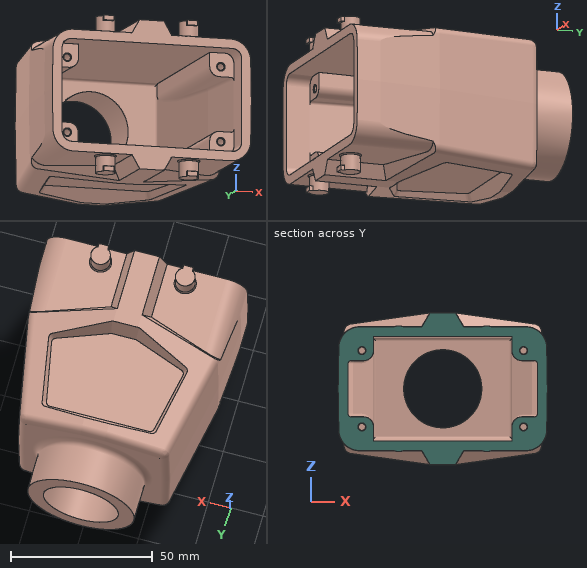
import cadquery as cq
import math

length = 88.0
width = 74.0
body_length = 72.2
roof_z = 26.8
ridge_half_width = 4.5
roof_slope = 8.0
mouth_half_width = width / 2
waist_half_width = 35.1
rear_half_width = 27.5
mouth_straight = 8.9
waist_y = 31.9
flank_draft = 1.0
edge_radius = 2.8

panel_z = 21.9
panel_corner_radius = 7.5
panel_ridge_gap = 7.4
panel_end_y = 21.1
panel_end_angle = 19.5
wall_taper = 30.0

pocket_floor_z = 22.0
pocket_front_y = 30.9
pocket_side_y = 38.4
pocket_rear_y = 63.45
pocket_side_x = 24.3
pocket_rear_x = 19.45
pocket_corner_radius = 1.9

cavity_mouth_x = 33.35
cavity_waist_x = 31.5
cavity_back_x = 24.4
back_wall = 3.5
back_y = body_length - back_wall
cavity_mouth_half_height = 18.5
cavity_back_half_height = 17.9
cavity_corner_radius = 3.5
cavity_back_radius = 1.1

boss_inner_x = cavity_back_x
boss_inner_z = 9.9
boss_corner_radius = 3.5
boss_top_z = 20.2
boss_root_radius = 1.1
screw_x = 28.5
screw_z = 13.5
screw_radius = 1.2
screw_lead = 0.31
screw_depth = 10.6

neck_radius = 19.5
bore_radius = 13.7
neck_fillet = 2.4

pin_x = 15.5
pin_y = 5.5
pin_radius = 6.95 / 2
pin_top_z = 28.0
pin_embed = 0.9
pin_skirt = 0.4
tab_half_width = 1.85
tab_height = 1.8
tab_end_y = 1.2

overrun = 4.4
reach = 52.8
chamfer_angle = 45.0
tolerance = 0.01


def both_sides(solid, plane):
    """Join a solid with its mirror image."""
    return solid.union(solid.mirror(plane))


def symmetric_outline(half):
    """Close an outline from its right-hand points and their mirror images."""
    return half + [(-x, y) for x, y in reversed(half)]


def section_at(y):
    """Cross-section sketch at the given Y, with X across and Z up."""
    return cq.Workplane("XZ", origin=(0, y, 0))


def rounded_tube(half_width, half_height, radius, start, end):
    """Rectangular bar along Y with rounded long edges."""
    bar = section_at(start).rect(2 * half_width, 2 * half_height).extrude(start - end)
    return bar.edges("|Y").fillet(radius)


def flank_outline(mouth_x, waist_x, rear_x, rear_y, extra):
    """Right-hand plan points of a flank, run past the mouth and past the rear by the extra length."""
    flare = (waist_x - rear_x) / (rear_y - waist_y)
    return [
        (mouth_x, -overrun),
        (mouth_x, mouth_straight),
        (waist_x, waist_y),
        (rear_x - flare * extra, rear_y + extra),
    ]


def is_eave(edge):
    """True for the long edges where the roof meets the flanks."""
    centre = edge.Center()
    runs_along = abs(edge.tangentAt(0.5).y) > 0.9
    return runs_along and abs(centre.x) > ridge_half_width + tolerance and abs(centre.z) > tolerance


def make_block():
    """Outer body: drafted flanks under a ridged roof, rounded at the roof and rear edges."""
    half = flank_outline(mouth_half_width, waist_half_width, rear_half_width, body_length, overrun)
    plan = cq.Workplane("XY").polyline(symmetric_outline(half)).close()
    flanks = both_sides(plan.extrude(reach, taper=flank_draft), "XY")
    eave_z = roof_z - (reach - ridge_half_width) * math.tan(math.radians(roof_slope))
    roof = [
        (ridge_half_width, roof_z),
        (reach, eave_z),
        (reach, -eave_z),
        (ridge_half_width, -roof_z),
    ]
    roof_bar = section_at(0).polyline(symmetric_outline(roof)).close().extrude(-body_length)
    block = flanks.intersect(roof_bar)
    eaves = [edge for edge in block.edges().vals() if is_eave(edge)]
    block = block.newObject(eaves).fillet(edge_radius)
    return block.faces(">Y").edges().fillet(edge_radius)


def add_neck(block):
    """Join the round cable neck to the rear face with a fillet at its root."""
    start = body_length - back_wall / 2
    joined = block.union(section_at(start).circle(neck_radius).extrude(start - length))
    rings = joined.edges("%CIRCLE").vals()
    root = [edge for edge in rings if abs(edge.Center().y - body_length) < tolerance
            and abs(edge.radius() - neck_radius) < tolerance]
    return joined.newObject(root).fillet(neck_fillet)


def flared_prism(outline, outline_z, bottom_z, top_z):
    """Upright prism with slanted walls that matches the outline at outline_z and widens upwards."""
    wires = []
    for z in (bottom_z, top_z):
        spread = (z - outline_z) * math.tan(math.radians(wall_taper))
        wire = cq.Workplane("XY", origin=(0, 0, z)).polyline(outline).close()
        if spread:
            wire = wire.offset2D(spread, "intersection")
        wires.append(wire.val())
    return cq.Workplane(cq.Solid.makeLoft(wires, True))


def make_panel_cut():
    """Material removed above the right-hand panel, down to the rounded mouth section."""
    far_end_y = panel_end_y + (reach - panel_ridge_gap) * math.tan(math.radians(panel_end_angle))
    outline = [
        (panel_ridge_gap, -reach),
        (panel_ridge_gap, panel_end_y),
        (reach, far_end_y),
        (reach, -reach),
    ]
    corner_z = panel_z - panel_corner_radius
    corner_half_width = mouth_half_width - corner_z * math.tan(math.radians(flank_draft))
    cut = flared_prism(outline, panel_z, corner_z, roof_z + overrun)
    tube = rounded_tube(corner_half_width, panel_z, panel_corner_radius, -2 * reach, 2 * reach)
    return cut.cut(tube)


def make_pocket():
    """Label recess in the roof with a flat floor and slanted walls."""
    half = [
        (ridge_half_width, pocket_front_y),
        (pocket_side_x, pocket_side_y),
        (pocket_rear_x, pocket_rear_y),
    ]
    pocket = flared_prism(symmetric_outline(half), pocket_floor_z, pocket_floor_z, roof_z + overrun)
    corners = [edge for edge in pocket.edges("not(#Z)").vals() if abs(edge.Center().x) > 2 * ridge_half_width]
    return pocket.newObject(corners).fillet(pocket_corner_radius)


def is_boss_root(edge):
    """True for the edges where the pillar's lower and inner sides meet the flank wall."""
    centre = edge.Center()
    on_lower_side = abs(centre.z - boss_inner_z) < tolerance and abs(edge.tangentAt(0.5).x) > tolerance
    on_inner_side = abs(centre.x - boss_inner_x) < tolerance and abs(edge.tangentAt(0.5).z) > 0.9
    behind_face = centre.y > mouth_straight + tolerance
    return behind_face and (edge.geomType() == "ELLIPSE" or on_lower_side or on_inner_side)


def make_boss():
    """Upper right screw pillar on a piece of the flank wall, blended into it at the root."""
    end_y = back_y + overrun
    flank = flank_outline(cavity_mouth_x, cavity_waist_x, cavity_back_x, back_y, overrun)
    wall_piece = flank[1:] + [(mouth_half_width, end_y), (mouth_half_width, mouth_straight)]
    boss = cq.Workplane("XY").polyline(wall_piece).close().extrude(boss_top_z)
    size = (mouth_half_width - boss_inner_x, end_y - mouth_straight, boss_top_z - boss_inner_z)
    pillar = cq.Workplane("XY").box(*size, centered=False).edges("<X and <Z").fillet(boss_corner_radius)
    boss = boss.union(pillar.translate((boss_inner_x, mouth_straight, boss_inner_z)))
    roots = [edge for edge in boss.edges().vals() if is_boss_root(edge)]
    return boss.newObject(roots).fillet(boss_root_radius)


def make_cavity():
    """Space inside the hood, leaving the four screw pillars standing."""
    plan = symmetric_outline(flank_outline(cavity_mouth_x, cavity_waist_x, cavity_back_x, back_y, 0))
    cavity = cq.Workplane("XY").polyline(plan).close().extrude(reach, both=True)
    profile = [
        (0, cavity_mouth_half_height),
        (back_y, cavity_back_half_height),
        (back_y, -cavity_back_half_height),
        (0, -cavity_mouth_half_height),
    ]
    cavity = cavity.intersect(cq.Workplane("YZ").polyline(profile).close().extrude(reach, both=True))
    opening = rounded_tube(cavity_mouth_x, cavity_mouth_half_height, cavity_corner_radius, 0, back_y)
    cavity = cavity.intersect(opening)
    cavity = cavity.faces(">Y").edges().fillet(cavity_back_radius)
    return cavity.cut(both_sides(both_sides(make_boss(), "YZ"), "XY"))


def make_pin():
    """Locking pin on the upper right panel, with a flared foot and a tab at its tip."""
    base_z = panel_z - pin_embed
    pin = cq.Workplane("XY", origin=(pin_x, pin_y, base_z)).circle(pin_radius).extrude(pin_top_z - base_z)
    foot = cq.Workplane("XY", origin=(pin_x, pin_y, panel_z)).circle(pin_radius + pin_skirt)
    foot = foot.extrude(pin_skirt, taper=chamfer_angle)
    tab_length = pin_y - tab_end_y
    tab = cq.Workplane("XY").box(2 * tab_half_width, tab_length, tab_height, centered=(True, False, False))
    tab = tab.translate((pin_x, tab_end_y, pin_top_z - tab_height))
    return pin.union(foot).union(tab)


def make_screw_holes():
    """Blind screw holes in the four pillars, countersunk at the pillar faces."""
    centres = section_at(mouth_straight).rect(2 * screw_x, 2 * screw_z, forConstruction=True).vertices()
    holes = centres.circle(screw_radius).extrude(-screw_depth)
    leads = centres.circle(screw_radius + screw_lead).extrude(-screw_lead, taper=chamfer_angle)
    return holes.union(leads)


body = add_neck(make_block())

panel_cut = both_sides(both_sides(make_panel_cut(), "YZ"), "XY")
pockets = both_sides(make_pocket(), "XY")
bore = section_at(mouth_straight).circle(bore_radius).extrude(mouth_straight - length)
pins = both_sides(both_sides(make_pin(), "YZ"), "XY")

body = body.cut(panel_cut).cut(pockets)
body = body.cut(make_cavity()).cut(bore).cut(make_screw_holes())
result = body.union(pins).solids()